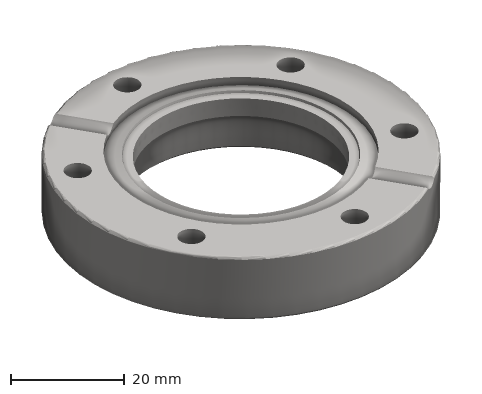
import cadquery as cq
import math

outer_diameter = 70.0
thickness = 13.0
rim_fillet = 0.5

bore_diameter = 38.0
socket_diameter = 42.6
socket_depth = 8.2
socket_chamfer = 0.5

recess_diameter = 48.3
recess_depth = 1.7
knife_diameter = 41.85
knife_tip_depth = 0.7
ledge_diameter = 41.6
ledge_depth = 1.2

bolt_count = 6
bolt_circle_diameter = 58.8
bolt_hole_diameter = 5.0

groove_width = 3.9
groove_depth = 1.0


def make_body():
    """Disc with both outer rims rounded."""
    disc = cq.Workplane("XY").circle(outer_diameter / 2).extrude(thickness)
    return disc.edges().fillet(rim_fillet)


def make_opening():
    """Revolved void: chamfered socket, bore, ledge, knife edge and recess."""
    socket_radius = socket_diameter / 2
    bore_radius = bore_diameter / 2
    knife_radius = knife_diameter / 2
    recess_radius = recess_diameter / 2
    return (
        cq.Workplane("XZ")
        .lineTo(socket_radius + socket_chamfer, 0)
        .lineTo(socket_radius, socket_chamfer)
        .lineTo(socket_radius, socket_depth)
        .lineTo(bore_radius, socket_depth)
        .lineTo(bore_radius, thickness - ledge_depth)
        .lineTo(ledge_diameter / 2, thickness - ledge_depth)
        .lineTo(knife_radius, thickness - knife_tip_depth)
        .lineTo(recess_radius, thickness - recess_depth)
        .lineTo(recess_radius, thickness)
        .lineTo(0, thickness)
        .close()
        .revolve(360, (0, 0), (0, 1))
    )


def make_bolt_holes():
    first_angle = 90
    return (
        cq.Workplane("XY")
        .polarArray(bolt_circle_diameter / 2, first_angle, 360, bolt_count)
        .circle(bolt_hole_diameter / 2)
        .extrude(thickness)
    )


def make_groove(direction):
    """Groove from the recess wall to the rim on the +X (1) or -X (-1) side."""
    radius = ((groove_width / 2) ** 2 + groove_depth ** 2) / (2 * groove_depth)
    axis_height = thickness - groove_depth + radius
    start = math.sqrt((recess_diameter / 2) ** 2 - (groove_width / 2) ** 2)
    return (
        cq.Workplane("YZ", origin=(direction * start, 0, 0))
        .center(0, axis_height)
        .circle(radius)
        .extrude(direction * (outer_diameter / 2 - start))
    )


result = make_body().cut(make_opening()).cut(make_bolt_holes())
for side in (-1, 1):
    result = result.cut(make_groove(side))